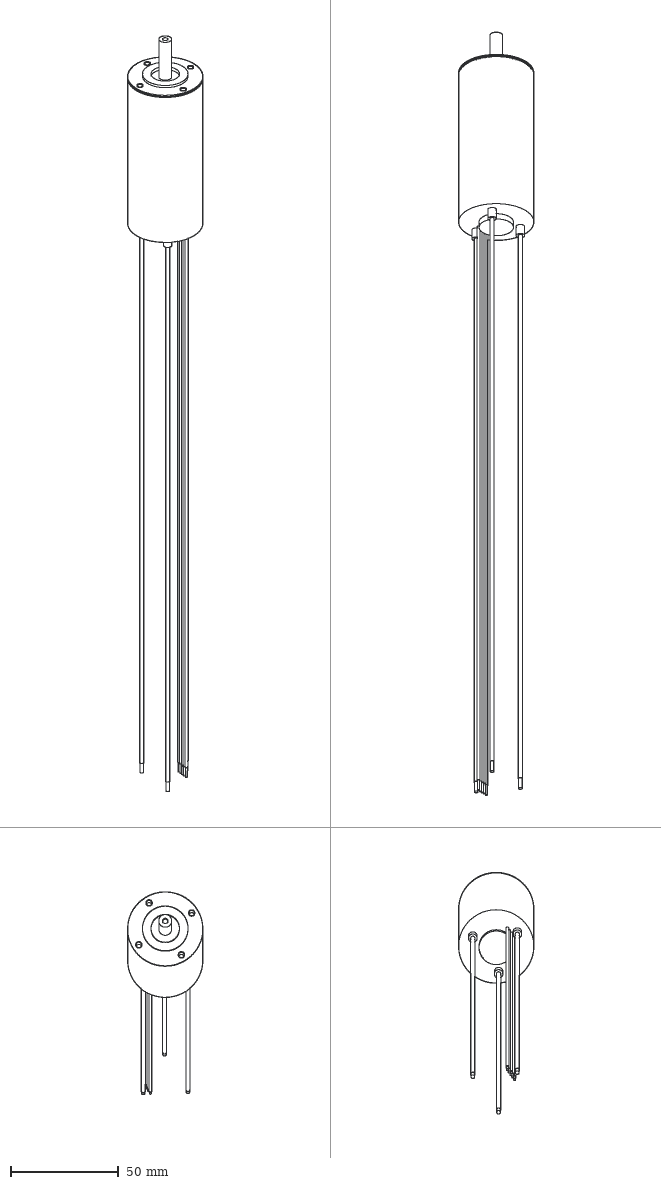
import cadquery as cq
import math

GROOVE_FLOOR_DIA = 33.5
GROOVE_DEPTH = 0.7
GROOVE_TOP_Z = -0.6
GROOVE_WIDTH = 0.6
BODY_DIA = GROOVE_FLOOR_DIA + 2 * GROOVE_DEPTH
BODY_LENGTH = 79.5
EMBED = 2.0

PILOT_DIA = 21.0
PILOT_HEIGHT = 1.0
RECESS_DIA = 13.0
RECESS_DEPTH = 1.5

SHAFT_DIA = 6.0
SHAFT_REACH = 20.0
CENTER_HOLE_DIA = 2.5
CENTER_HOLE_DEPTH = 2.5

HOLE_COUNT = 4
HOLE_CIRCLE_DIA = 28.8
HOLE_DIA = 2.5
HOLE_DEPTH = 6.0
COUNTERBORE_DIA = 3.0
COUNTERBORE_DEPTH = 0.5

BOSS_DIA = 16.0
BOSS_HEIGHT = 2.8

OVERALL_LENGTH = 400.0
REAR_Z = -BODY_LENGTH
LEAD_END_Z = SHAFT_REACH - OVERALL_LENGTH
TIP_LENGTH = 5.0

PHASE_ANGLES = (90, 210, 330)
PHASE_RADIUS = 12.0
PHASE_DIA = 2.0
PHASE_TIP_DIA = 1.75
PHASE_END_Z = LEAD_END_Z + 0.8
GROMMET_DIA = 4.0
GROMMET_HEIGHT = 4.8

SENSOR_COUNT = 5
SENSOR_DIA = 1.4
SENSOR_TIP_DIA = 1.0
SENSOR_PITCH = 1.45
SENSOR_ROW_X = 1.1
SENSOR_ROW_Y = 9.0


def cylinder(dia, z_low, z_high, x=0.0, y=0.0):
    base = cq.Workplane("XY").workplane(offset=z_low)
    return base.center(x, y).circle(dia / 2).extrude(z_high - z_low)


def housing():
    tube = cylinder(BODY_DIA, REAR_Z, 0)
    pilot = cylinder(PILOT_DIA, -EMBED, PILOT_HEIGHT)
    boss = cylinder(BOSS_DIA, REAR_Z - BOSS_HEIGHT, REAR_Z + EMBED)
    recess = cylinder(RECESS_DIA, PILOT_HEIGHT - RECESS_DEPTH, PILOT_HEIGHT)
    return tube.cut(edge_groove()).union(pilot).union(boss).cut(recess)


def edge_groove():
    groove_low_z = GROOVE_TOP_Z - GROOVE_WIDTH
    outer = cylinder(BODY_DIA, groove_low_z, GROOVE_TOP_Z)
    return outer.cut(cylinder(GROOVE_FLOOR_DIA, groove_low_z, GROOVE_TOP_Z))


def mounting_holes():
    centers = cq.Workplane("XY").polarArray(HOLE_CIRCLE_DIA / 2, 0, 360, HOLE_COUNT)
    bores = centers.circle(HOLE_DIA / 2).extrude(-HOLE_DEPTH)
    counterbores = centers.circle(COUNTERBORE_DIA / 2).extrude(-COUNTERBORE_DEPTH)
    return bores.union(counterbores)


def shaft():
    rod = cylinder(SHAFT_DIA, -EMBED, SHAFT_REACH)
    return rod.cut(cylinder(CENTER_HOLE_DIA, SHAFT_REACH - CENTER_HOLE_DEPTH, SHAFT_REACH))


def lead(dia, tip_dia, end_z, x, y):
    insulation = cylinder(dia, end_z + TIP_LENGTH, REAR_Z + EMBED, x, y)
    tip = cylinder(tip_dia, end_z, end_z + TIP_LENGTH, x, y)
    return insulation.union(tip)


def phase_lead(angle):
    x = PHASE_RADIUS * math.cos(math.radians(angle))
    y = PHASE_RADIUS * math.sin(math.radians(angle))
    grommet = cylinder(GROMMET_DIA, REAR_Z - GROMMET_HEIGHT, REAR_Z + EMBED, x, y)
    return grommet.union(lead(PHASE_DIA, PHASE_TIP_DIA, PHASE_END_Z, x, y))


def sensor_lead(index):
    x = SENSOR_ROW_X + (index - (SENSOR_COUNT - 1) / 2) * SENSOR_PITCH
    return lead(SENSOR_DIA, SENSOR_TIP_DIA, LEAD_END_Z, x, SENSOR_ROW_Y)


result = housing().cut(mounting_holes()).union(shaft())

for phase_angle in PHASE_ANGLES:
    result = result.union(phase_lead(phase_angle))

for sensor_index in range(SENSOR_COUNT):
    result = result.union(sensor_lead(sensor_index))